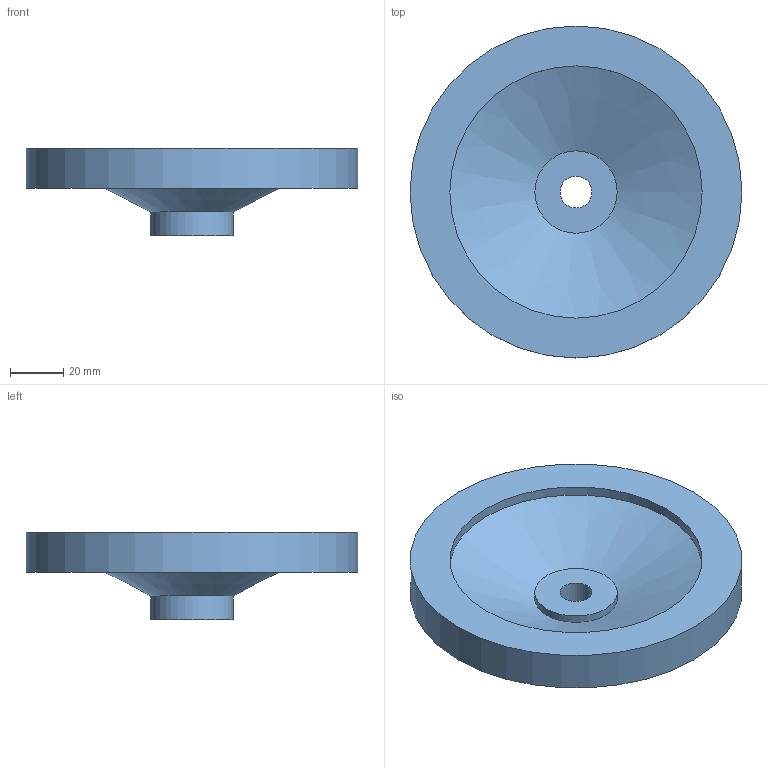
import cadquery as cq

outer_diameter = 125.0
total_height = 33.0

rim_height = 15.0
rim_inner_diameter = 95.0
rim_lip_depth = 3.7

hub_diameter = 31.0
bore_diameter = 12.0
hub_bottom_length = 9.0
hub_top_length = 3.0

web_lower_diameter = 66.0

outer_radius = outer_diameter / 2
rim_inner_radius = rim_inner_diameter / 2
hub_radius = hub_diameter / 2
bore_radius = bore_diameter / 2
web_lower_radius = web_lower_diameter / 2
rim_bottom_z = total_height - rim_height
hub_top_z = rim_bottom_z
dish_bottom_z = hub_top_z - hub_top_length
dish_top_z = total_height - rim_lip_depth


def make_wheel():
    """Revolve the half section of rim, web, hub and bore about the Z axis."""
    half_section = (
        cq.Workplane("XZ")
        .moveTo(bore_radius, 0)
        .lineTo(hub_radius, 0)
        .lineTo(hub_radius, hub_bottom_length)
        .lineTo(web_lower_radius, rim_bottom_z)
        .lineTo(outer_radius, rim_bottom_z)
        .lineTo(outer_radius, total_height)
        .lineTo(rim_inner_radius, total_height)
        .lineTo(rim_inner_radius, dish_top_z)
        .lineTo(hub_radius, dish_bottom_z)
        .lineTo(hub_radius, hub_top_z)
        .lineTo(bore_radius, hub_top_z)
        .close()
    )
    return half_section.revolve(360, (0, 0, 0), (0, 1, 0))


result = make_wheel()